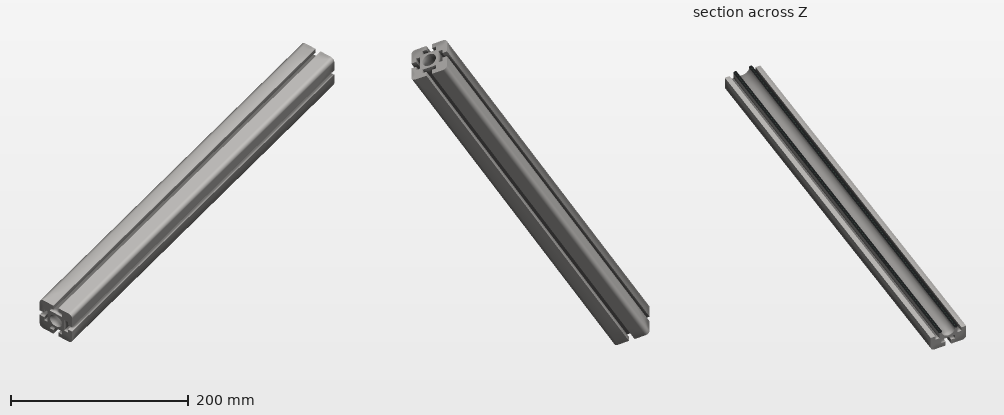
import cadquery as cq

side = 45.0
length = 500.0
corner_radius = 5.0
bore_diameter = 17.0
slot_opening = 7.0
slot_inner_width = 17.0
lip_thickness = 6.0
slot_depth = 11.0

slot_count = 4


def square_bar():
    """Square bar along Y, centred on the origin, with rounded long edges."""
    return cq.Workplane("XY").box(side, length, side).edges("|Y").fillet(corner_radius)


def t_slot():
    """Cutter for the T-slot in the +Z face, running the full length."""
    face = side / 2
    lip_underside = face - lip_thickness
    floor = face - slot_depth
    half_opening = slot_opening / 2
    half_inner = slot_inner_width / 2
    outline = [
        (-half_opening, face),
        (-half_opening, lip_underside),
        (-half_inner, lip_underside),
        (-half_inner, floor),
        (half_inner, floor),
        (half_inner, lip_underside),
        (half_opening, lip_underside),
        (half_opening, face),
    ]
    return cq.Workplane("XZ").polyline(outline).close().extrude(length / 2, both=True)


def center_bore():
    """Cutter for the round bore along the axis of the bar."""
    return cq.Workplane("XZ").circle(bore_diameter / 2).extrude(length / 2, both=True)


result = square_bar().cut(center_bore())
slot_cutter = t_slot()
for index in range(slot_count):
    angle = index * 360 / slot_count
    result = result.cut(slot_cutter.rotate((0, 0, 0), (0, 1, 0), angle))